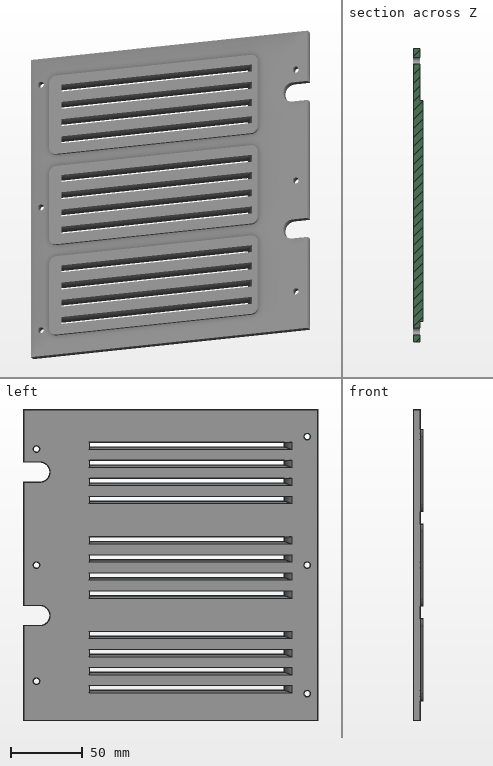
import cadquery as cq

plate_thickness = 5.0
plate_width = 205.0
plate_height = 217.0

pad_thickness = 2.0
pad_width = 154.5
pad_height = 57.3
pad_corner_radius = 5.0
pad_center_y = -11.0
group_count = 3
group_pitch = 66.0

slot_length = 141.0
slot_height = 5.0
slots_per_group = 4
slot_pitch = 12.5
slot_front_center_y = -13.9
slot_group_front_offset_z = -1.7
slot_slant_y = 5.5
slot_slant_z = 1.85

hole_diameter = 4.3
left_hole_inset = 9.0
left_hole_pitch = 81.0
right_hole_inset = 7.4
right_hole_pitch = 89.6

notch_height = 13.9
notch_depth = 18.2
upper_notch_z = 64.9
notch_pitch = 100.0

total_thickness = plate_thickness + pad_thickness
left_edge_y = plate_width / 2
right_edge_y = -plate_width / 2


def centered_steps(count, pitch):
    """Offsets of evenly spaced items, centered on zero."""
    return [(i - (count - 1) / 2) * pitch for i in range(count)]


def make_plate():
    return cq.Workplane("YZ").rect(plate_width, plate_height).extrude(plate_thickness)


def make_pad(center_z):
    return (
        cq.Workplane("YZ", origin=(plate_thickness, 0, 0))
        .center(pad_center_y, center_z)
        .rect(pad_width, pad_height)
        .extrude(pad_thickness)
        .edges("|X")
        .fillet(pad_corner_radius)
    )


def make_slot(front_center_z):
    """Cutter joining equal rectangles on the front face and the pad face, shifted along Y and Z."""
    return (
        cq.Workplane("YZ")
        .center(slot_front_center_y, front_center_z)
        .rect(slot_length, slot_height)
        .workplane(offset=total_thickness)
        .center(slot_slant_y, slot_slant_z)
        .rect(slot_length, slot_height)
        .loft(ruled=True)
    )


def make_hole_column(center_y, pitch):
    points = [(center_y, z) for z in centered_steps(3, pitch)]
    return cq.Workplane("YZ").pushPoints(points).circle(hole_diameter / 2).extrude(plate_thickness)


def make_notch(center_z):
    radius = notch_height / 2
    arc_center_y = left_edge_y - notch_depth + radius
    return (
        cq.Workplane("YZ")
        .moveTo(left_edge_y, center_z + radius)
        .lineTo(arc_center_y, center_z + radius)
        .threePointArc((arc_center_y - radius, center_z), (arc_center_y, center_z - radius))
        .lineTo(left_edge_y, center_z - radius)
        .close()
        .extrude(plate_thickness)
    )


result = make_plate()

group_centers_z = centered_steps(group_count, group_pitch)
for group_z in group_centers_z:
    result = result.union(make_pad(group_z))

for group_z in group_centers_z:
    for slot_z in centered_steps(slots_per_group, slot_pitch):
        result = result.cut(make_slot(group_z + slot_group_front_offset_z + slot_z))

result = result.cut(make_hole_column(left_edge_y - left_hole_inset, left_hole_pitch))
result = result.cut(make_hole_column(right_edge_y + right_hole_inset, right_hole_pitch))

for notch_z in (upper_notch_z, upper_notch_z - notch_pitch):
    result = result.cut(make_notch(notch_z))